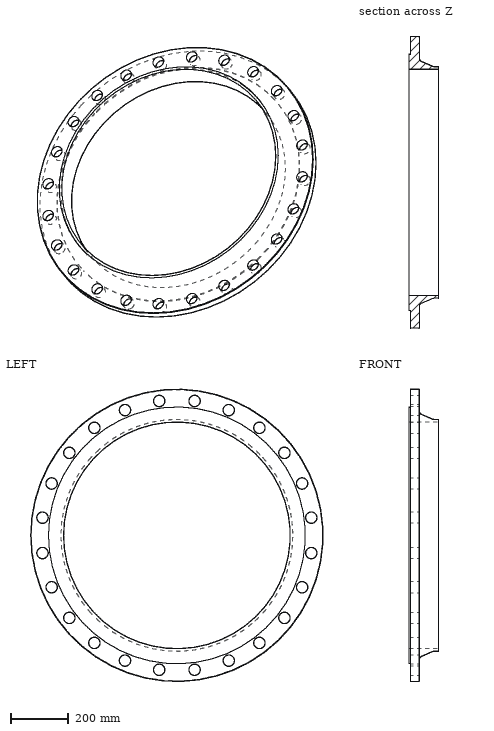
import cadquery as cq

flange_diameter = 1025.0
bore_diameter = 793.0
neck_diameter = 813.0
hub_base_diameter = 855.0
raised_face_diameter = 900.0

total_length = 105.0
raised_face_height = 5.0
flange_back = 38.0
neck_length = 18.0
hub_fillet_radius = 10.0
neck_fillet_radius = 15.0
rim_chamfer = 2.0

bolt_count = 24
bolt_hole_diameter = 39.0
bolt_circle_diameter = 950.0

bore_radius = bore_diameter / 2
neck_radius = neck_diameter / 2
hub_base_radius = hub_base_diameter / 2
raised_face_radius = raised_face_diameter / 2
flange_radius = flange_diameter / 2
neck_start = total_length - neck_length


def make_flange_body():
    """Revolve the half section (X = axial, Y = radial) about the X axis."""
    section = [
        (0, bore_radius),
        (0, raised_face_radius),
        (raised_face_height, raised_face_radius),
        (raised_face_height, flange_radius),
        (flange_back, flange_radius),
        (flange_back, hub_base_radius),
        (neck_start, neck_radius),
        (total_length, neck_radius),
        (total_length, bore_radius),
    ]
    return cq.Workplane("XY").polyline(section).close().revolve(360, (0, 0, 0), (1, 0, 0))


def circle_edge(body, x, radius):
    """Circular edge of the given radius in the plane at x."""
    tolerance = 0.01
    return body.edges("%CIRCLE").filter(
        lambda edge: abs(edge.Center().x - x) < tolerance and abs(edge.radius() - radius) < tolerance
    )


def make_bolt_holes():
    """Cylinders on the bolt circle, straddling the Y and Z axes."""
    return (
        cq.Workplane("YZ")
        .polarArray(bolt_circle_diameter / 2, 180 / bolt_count, 360, bolt_count)
        .circle(bolt_hole_diameter / 2)
        .extrude(flange_back)
    )


body = make_flange_body()
body = circle_edge(body, flange_back, hub_base_radius).fillet(hub_fillet_radius)
body = circle_edge(body, neck_start, neck_radius).fillet(neck_fillet_radius)
body = circle_edge(body, flange_back, flange_radius).chamfer(rim_chamfer)

result = body.cut(make_bolt_holes())